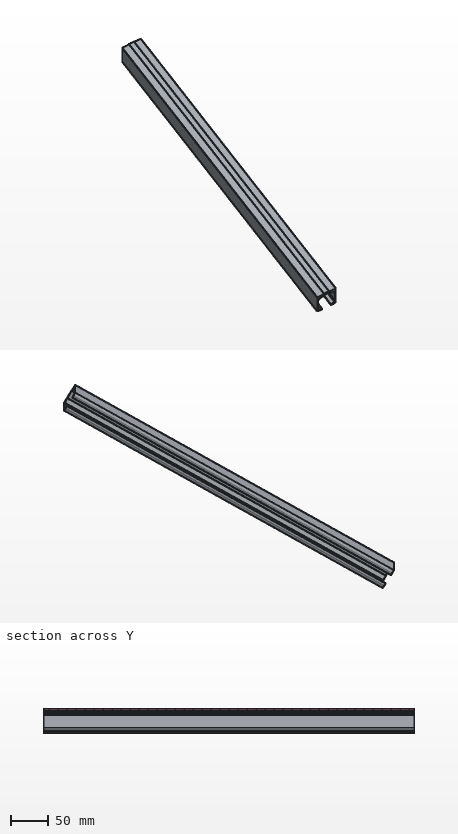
import cadquery as cq
import math

LENGTH = 500.0
WIDTH = 30.0
HEIGHT = 33.0

SLOPE_ANGLE = 15.0

CROWN_WIDTH = 8.0
CROWN_HEIGHT = 1.0

REBATE_WIDTH = 0.4
REBATE_BOTTOM_DROP = 1.5

RECESS_WIDTH = 12.0
CEILING_DROP = 3.5
ROOF_EDGE_DROP = 7.0

WALL = 2.0
THICK_WALL = 2.5
BAND_BOTTOM = 7.0
BAND_TOP = 24.0

SLOT_WIDTH = 14.0
LIP_TIP_THICKNESS = 2.0
FOOT_RISE = 1.2

slope = math.tan(math.radians(SLOPE_ANGLE))
half_width = WIDTH / 2
half_crown = CROWN_WIDTH / 2
half_recess = RECESS_WIDTH / 2
half_slot = SLOT_WIDTH / 2

shoulder_z = HEIGHT - CROWN_HEIGHT
rebate_z = HEIGHT - REBATE_BOTTOM_DROP
ceiling_z = HEIGHT - CEILING_DROP
roof_edge_z = HEIGHT - ROOF_EDGE_DROP

thin_inner = half_width - WALL
thick_inner = half_width - THICK_WALL
recess_edge_z = roof_edge_z + (thick_inner - half_recess) * slope
lip_root_z = LIP_TIP_THICKNESS + (thick_inner - half_slot) * slope
foot_inner = half_width - FOOT_RISE / slope


def outer_half():
    """(y, z) points of the outside at +Y, from the slot up to the crown."""
    return [
        (half_slot, 0),
        (foot_inner, 0),
        (half_width, FOOT_RISE),
        (half_width, rebate_z),
        (half_width - REBATE_WIDTH, rebate_z),
        (half_width - REBATE_WIDTH, shoulder_z),
        (half_crown, shoulder_z),
        (half_crown, HEIGHT),
    ]


def inner_half():
    """(y, z) points of the inside at +Y, from the roof recess down to the slot."""
    return [
        (half_recess, ceiling_z),
        (half_recess, recess_edge_z),
        (thick_inner, roof_edge_z),
        (thick_inner, BAND_TOP),
        (thin_inner, BAND_TOP),
        (thin_inner, BAND_BOTTOM),
        (thick_inner, BAND_BOTTOM),
        (thick_inner, lip_root_z),
        (half_slot, LIP_TIP_THICKNESS),
    ]


def mirrored(points):
    """The points mirrored across the middle plane, in reverse order."""
    return [(-y, z) for y, z in reversed(points)]


def rail():
    """The rail section extruded along X."""
    outside = outer_half()
    inside = inner_half()
    outline = outside + mirrored(outside) + mirrored(inside) + inside
    return cq.Workplane("YZ").polyline(outline).close().extrude(LENGTH)


result = rail()